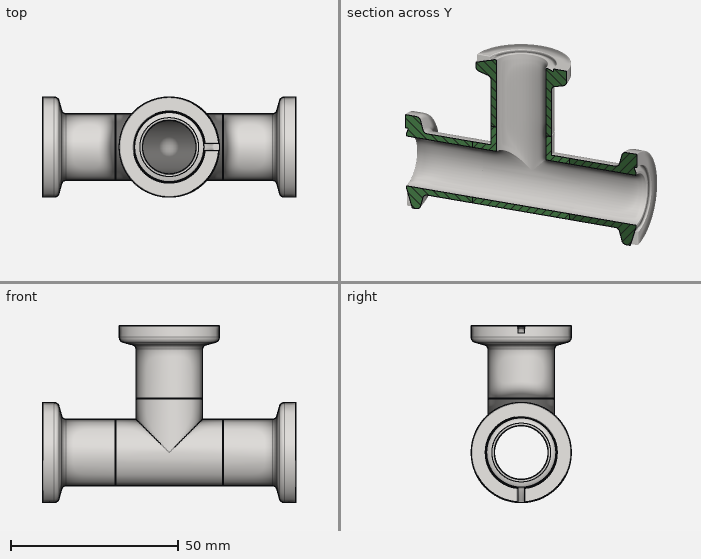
import cadquery as cq
import math

pipe_radius = 10.0
bore_radius = 8.0
center_to_face = 38.0
ferrule_length = 22.0
tee_reach = center_to_face - ferrule_length

flange_radius = 15.0
rim_width = 3.5
back_angle = math.radians(15.0)
rim_round = 1.6
neck_round = 1.3
end_chamfer = 0.25

recess_radius = 10.6
edge_round = 0.2
recess_floor_width = 0.25
lip_radius = 8.8
lip_depth = 0.25
lip_slope = math.radians(20.0)
lip_edge_round = 0.2
lip_foot_radius = recess_radius - recess_floor_width
recess_depth = lip_depth + (lip_foot_radius - lip_radius) * math.tan(lip_slope)

slot_width = 2.0
slot_outer_depth = 2.2


def make_tee():
    """Solid run and branch, then one bore through each."""

    def run_and_branch(radius):
        run = cq.Workplane("YZ").circle(radius).extrude(tee_reach, both=True)
        branch = cq.Workplane("XY").circle(radius).extrude(tee_reach)
        return run.union(branch)

    return run_and_branch(pipe_radius).cut(run_and_branch(bore_radius))


def arc_point(center, radius, angle):
    """Point on a profile arc; the angle runs from the radial direction towards the face."""
    return (center[0] + radius * math.cos(angle), center[1] + radius * math.sin(angle))


def make_ferrule_blank():
    """Revolved ferrule about Z: front face at Z = 0, pipe going down."""
    turn = math.pi / 2 - back_angle
    rim_center = (flange_radius - rim_round, -rim_width)
    cone_start = arc_point(rim_center, rim_round, -turn)

    cone_end_radius = pipe_radius + neck_round * (1 - math.cos(turn))
    cone_end_z = cone_start[1] - (cone_start[0] - cone_end_radius) * math.tan(back_angle)
    neck_center = (pipe_radius + neck_round, cone_end_z - neck_round * math.sin(turn))

    lip_edge_center = (bore_radius + lip_edge_round, -lip_depth - lip_edge_round)

    profile = (
        cq.Workplane("XZ")
        .moveTo(bore_radius, -ferrule_length)
        .lineTo(bore_radius, lip_edge_center[1])
        .threePointArc(
            arc_point(lip_edge_center, lip_edge_round, math.radians(135)),
            (lip_edge_center[0], -lip_depth),
        )
        .lineTo(lip_radius, -lip_depth)
        .lineTo(lip_foot_radius, -recess_depth)
        .lineTo(recess_radius, -recess_depth)
        .lineTo(recess_radius, 0)
        .lineTo(flange_radius, 0)
        .lineTo(flange_radius, -rim_width)
        .threePointArc(arc_point(rim_center, rim_round, -turn / 2), cone_start)
        .lineTo(cone_end_radius, cone_end_z)
        .threePointArc(
            arc_point(neck_center, neck_round, math.pi - turn / 2),
            (pipe_radius, neck_center[1]),
        )
        .lineTo(pipe_radius, end_chamfer - ferrule_length)
        .lineTo(pipe_radius - end_chamfer, -ferrule_length)
        .close()
    )
    return profile.revolve(360, (0, 0, 0), (0, 1, 0))


def make_slot_cutter():
    """Slot along +X; its floor starts along the lip slope and flattens towards the rim."""
    return (
        cq.Workplane("XZ")
        .moveTo(lip_foot_radius, 0)
        .lineTo(lip_foot_radius, -recess_depth)
        .lineTo(recess_radius, -recess_depth)
        .threePointArc(slot_floor_middle(), (flange_radius, -slot_outer_depth))
        .lineTo(flange_radius, 0)
        .close()
        .extrude(slot_width / 2, both=True)
    )


def slot_floor_middle():
    """Middle of the floor arc that leaves the recess at the lip slope."""
    run = flange_radius - recess_radius
    drop = slot_outer_depth - recess_depth
    chord_angle = math.atan2(drop, run)
    bulge = math.hypot(run, drop) / 2 * math.tan((lip_slope - chord_angle) / 2)
    return (
        (recess_radius + flange_radius) / 2 - bulge * math.sin(chord_angle),
        -(recess_depth + slot_outer_depth) / 2 - bulge * math.cos(chord_angle),
    )


def make_ferrule():
    ferrule = make_ferrule_blank().cut(make_slot_cutter())
    return ferrule.faces(">Z").edges().fillet(edge_round)


tee = make_tee()
upright_ferrule = make_ferrule().translate((0, 0, center_to_face))

ferrule_turns = [(0, 0), (180, -90), (0, 90)]
ferrules = [
    upright_ferrule.rotate((0, 0, 0), (0, 0, 1), spin).rotate((0, 0, 0), (0, 1, 0), tilt)
    for spin, tilt in ferrule_turns
]

result = cq.Compound.makeCompound([tee.val()] + [ferrule.val() for ferrule in ferrules])